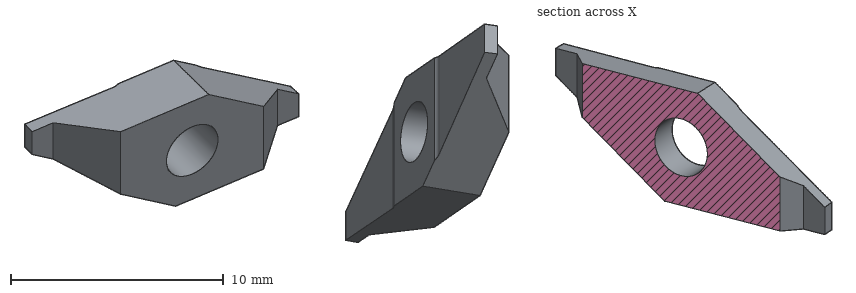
import math

import cadquery as cq

thickness = 3.0
length = 15.0
height = 6.0
half_length = length / 2
half_height = height / 2

tip_height = 1.4
slope_angle = 35.0

nose_back = 0.71
nose_length = 1.19
end_lean_angle = 2.0

flank_end = half_length - nose_length - (thickness - nose_back)

pad_half_length = 2.19
step_length = 0.32
step_depth = 0.09
tip_setback = 0.05

hole_diameter = 2.9


def plan_body():
    """Thickness profile in XY, mirrored about Y = 0, extruded over the full height."""
    step_end = pad_half_length + step_length
    step_radius = (step_length**2 + step_depth**2) / (2 * step_depth)
    arc_angle = math.asin(step_length / step_radius) / 2
    step_mid_x = step_depth - step_radius * (1 - math.cos(arc_angle))
    step_mid_y = step_end - step_radius * math.sin(arc_angle)
    end_lean = (nose_back - tip_setback) * math.tan(math.radians(end_lean_angle))
    tip_y = half_length - end_lean
    return (
        cq.Workplane("XY")
        .workplane(offset=-half_height)
        .moveTo(0, -pad_half_length)
        .lineTo(0, pad_half_length)
        .threePointArc((step_mid_x, step_mid_y), (step_depth, step_end))
        .lineTo(tip_setback, tip_y)
        .lineTo(nose_back, half_length)
        .lineTo(nose_back, half_length - nose_length)
        .lineTo(thickness, flank_end)
        .lineTo(thickness, -flank_end)
        .lineTo(nose_back, nose_length - half_length)
        .lineTo(nose_back, -half_length)
        .lineTo(tip_setback, -tip_y)
        .lineTo(step_depth, -step_end)
        .threePointArc((step_mid_x, -step_mid_y), (0, -pad_half_length))
        .close()
        .extrude(height)
    )


def side_outline():
    """Six-sided outline in YZ, extruded over the full thickness."""
    slope_run = (height - tip_height) / math.tan(math.radians(slope_angle))
    outline = [
        (half_length, -half_height),
        (half_length, tip_height - half_height),
        (half_length - slope_run, half_height),
        (-half_length, half_height),
        (-half_length, half_height - tip_height),
        (slope_run - half_length, -half_height),
    ]
    return cq.Workplane("YZ").polyline(outline).close().extrude(thickness)


def screw_hole():
    """Plain cylinder through the centre along X."""
    return cq.Workplane("YZ").circle(hole_diameter / 2).extrude(thickness)


result = plan_body().intersect(side_outline()).cut(screw_hole())